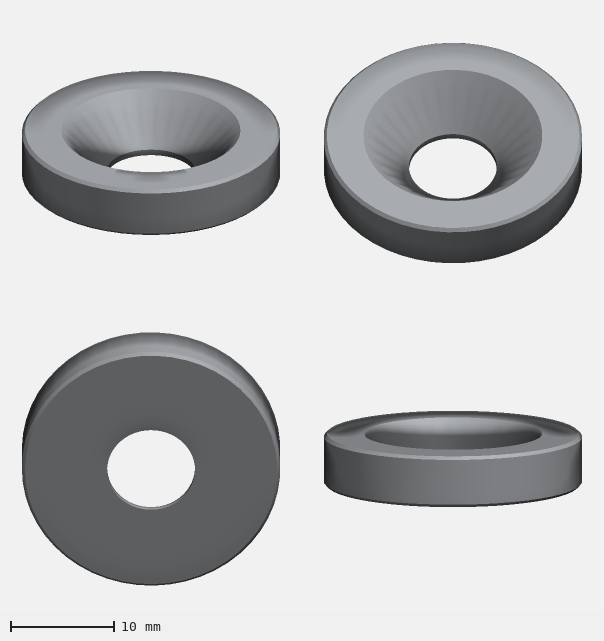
import cadquery as cq

outer_diameter = 25.0
thickness = 5.0
edge_chamfer = 0.3
hole_diameter = 8.5
countersink_diameter = 17.3
countersink_angle = 90.0

disc = cq.Workplane("XY").circle(outer_diameter / 2).extrude(thickness)
disc = disc.edges("%CIRCLE").chamfer(edge_chamfer)

result = disc.faces(">Z").workplane().cskHole(hole_diameter, countersink_diameter, countersink_angle)